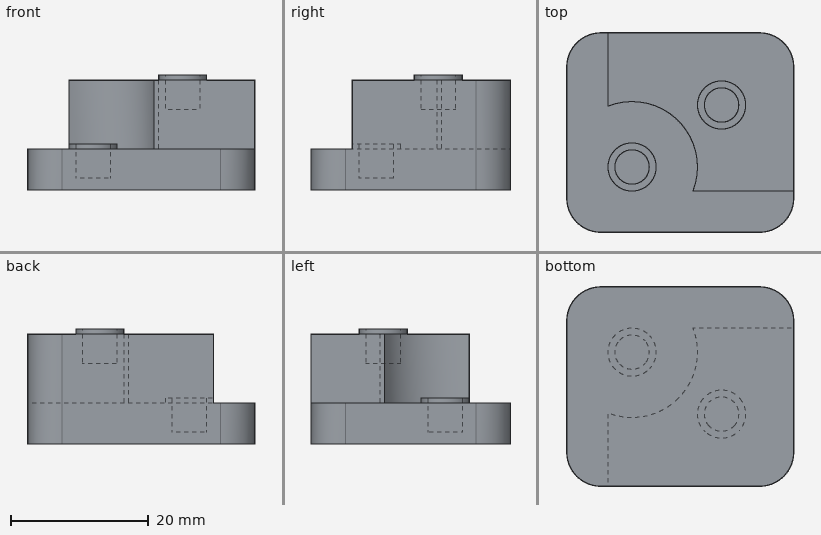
import cadquery as cq

LENGTH = 33.0
WIDTH = 29.0
BASE_HEIGHT = 6.0
CORNER_RADIUS = 5.0

STEP_SETBACK = 6.0
STEP_HEIGHT = 10.0
STEP_TOP = BASE_HEIGHT + STEP_HEIGHT

BOSS_DIAMETER = 7.0
BOSS_HEIGHT = 0.75
HOLE_DIAMETER = 5.0
HOLE_DEPTH = 5.0
LOWER_BOSS_CENTER = (STEP_SETBACK + BOSS_DIAMETER / 2, STEP_SETBACK + BOSS_DIAMETER / 2)
BOSS_SPACING_X = 13.0
BOSS_SPACING_Y = 9.0
UPPER_BOSS_CENTER = (
    LOWER_BOSS_CENTER[0] + BOSS_SPACING_X,
    LOWER_BOSS_CENTER[1] + BOSS_SPACING_Y,
)

CLEARANCE_RADIUS = 9.5


def rounded_plate(height):
    """Plate outline with rounded corners, extruded up from z = 0."""
    plate = cq.Workplane("XY").box(LENGTH, WIDTH, height, centered=False)
    return plate.edges("|Z").fillet(CORNER_RADIUS)


def cylinder(center, diameter, bottom, height):
    """Upright cylinder standing on the level `bottom`."""
    plane = cq.Workplane("XY").workplane(offset=bottom)
    return plane.center(*center).circle(diameter / 2).extrude(height)


def raised_block():
    """Block sharing the plate's rear right outline, with the clearance cut."""
    corner = cq.Workplane("XY").box(
        LENGTH - STEP_SETBACK, WIDTH - STEP_SETBACK, STEP_HEIGHT, centered=False
    )
    corner = corner.translate((STEP_SETBACK, STEP_SETBACK, BASE_HEIGHT))
    block = corner.intersect(rounded_plate(STEP_TOP))
    clearance = cylinder(LOWER_BOSS_CENTER, 2 * CLEARANCE_RADIUS, BASE_HEIGHT, STEP_HEIGHT)
    return block.cut(clearance)


def add_hollow_boss(body, center, seat):
    """Boss on the level `seat`, with a blind hole measured from its rim."""
    rim = seat + BOSS_HEIGHT
    boss = cylinder(center, BOSS_DIAMETER, seat, BOSS_HEIGHT)
    hole = cylinder(center, HOLE_DIAMETER, rim - HOLE_DEPTH, HOLE_DEPTH)
    return body.union(boss).cut(hole)


body = rounded_plate(BASE_HEIGHT).union(raised_block())
body = add_hollow_boss(body, LOWER_BOSS_CENTER, BASE_HEIGHT)
result = add_hollow_boss(body, UPPER_BOSS_CENTER, STEP_TOP)